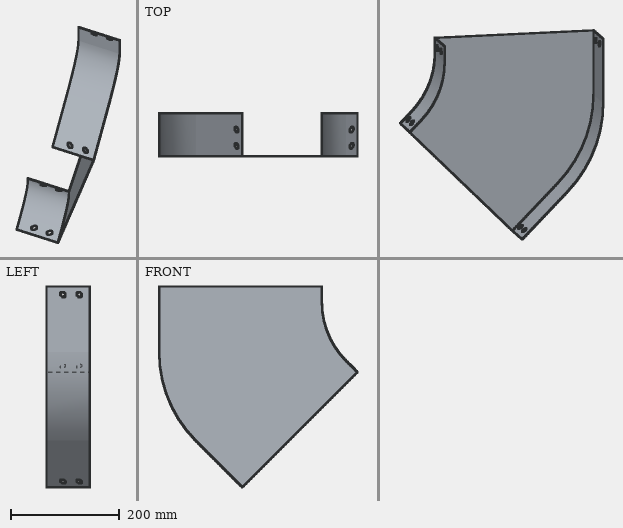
import cadquery as cq
import math

bend_angle = 45.0
overall_height = 369.5
channel_width = 300.0
wall_height = 80.0
sheet_thickness = 0.92

inner_straight = 30.0
outer_radius = 231.0

slot_length = 11.5
slot_width = 7.0
slot_tilt = 45.0
slot_end_offset = 15.0
slot_heights = (20.0, 50.0)

half_tangent = math.tan(math.radians(bend_angle / 2))
bend_sin = math.sin(math.radians(bend_angle))
bend_cos = math.cos(math.radians(bend_angle))

outer_leg = overall_height / (1 + bend_cos)
inner_leg = outer_leg - channel_width * half_tangent
inner_radius = (inner_leg - inner_straight) / half_tangent
outer_straight = outer_leg - outer_radius * half_tangent


def side_points(x, straight, radius):
    """Start, arc start, arc middle, arc end and end of one side, from the top end downward."""

    def arc_point(angle):
        turn = math.radians(angle)
        return (x + radius * (1 - math.cos(turn)), -straight - radius * math.sin(turn))

    arc_end = arc_point(bend_angle)
    end = (arc_end[0] + straight * bend_sin, arc_end[1] - straight * bend_cos)
    return (x, 0), arc_point(0), arc_point(bend_angle / 2), arc_end, end


def channel_outline(inset, height):
    """Solid with the channel's plan shape, both sides moved inward by inset."""
    outer = side_points(inset, outer_straight, outer_radius - inset)
    inner = side_points(channel_width - inset, inner_straight, inner_radius + inset)
    return (
        cq.Workplane("XZ")
        .moveTo(*outer[0])
        .lineTo(*outer[1])
        .threePointArc(outer[2], outer[3])
        .lineTo(*outer[4])
        .lineTo(*inner[4])
        .lineTo(*inner[3])
        .threePointArc(inner[2], inner[1])
        .lineTo(*inner[0])
        .close()
        .extrude(-height)
    )


def wall_slots(end_point, outward, downstream, end_sign):
    """Tilted slot cutters for one wall end.

    downstream runs along the wall away from the top end of the channel;
    end_sign is 1 at the top end and -1 at the angled end.
    """
    center_shift = end_sign * slot_end_offset
    wall_plane = cq.Plane(
        origin=(
            end_point[0] + downstream[0] * center_shift,
            0,
            end_point[1] + downstream[1] * center_shift,
        ),
        xDir=(downstream[0], 0, downstream[1]),
        normal=(outward[0], 0, outward[1]),
    )
    rise = wall_plane.yDir.y
    return (
        cq.Workplane(wall_plane)
        .pushPoints([(0, rise * height) for height in slot_heights])
        .slot2D(slot_length, slot_width, slot_tilt)
        .extrude(2 * sheet_thickness, both=True)
    )


body = channel_outline(0, wall_height)
cavity = channel_outline(sheet_thickness, wall_height).translate((0, sheet_thickness, 0))
result = body.cut(cavity)

outer_side = side_points(0, outer_straight, outer_radius)
inner_side = side_points(channel_width, inner_straight, inner_radius)
for side, outward_sign in ((outer_side, -1), (inner_side, 1)):
    top_outward = (outward_sign, 0)
    angled_outward = (outward_sign * bend_cos, outward_sign * bend_sin)
    result = result.cut(wall_slots(side[0], top_outward, (0, -1), 1))
    result = result.cut(wall_slots(side[-1], angled_outward, (bend_sin, -bend_cos), -1))